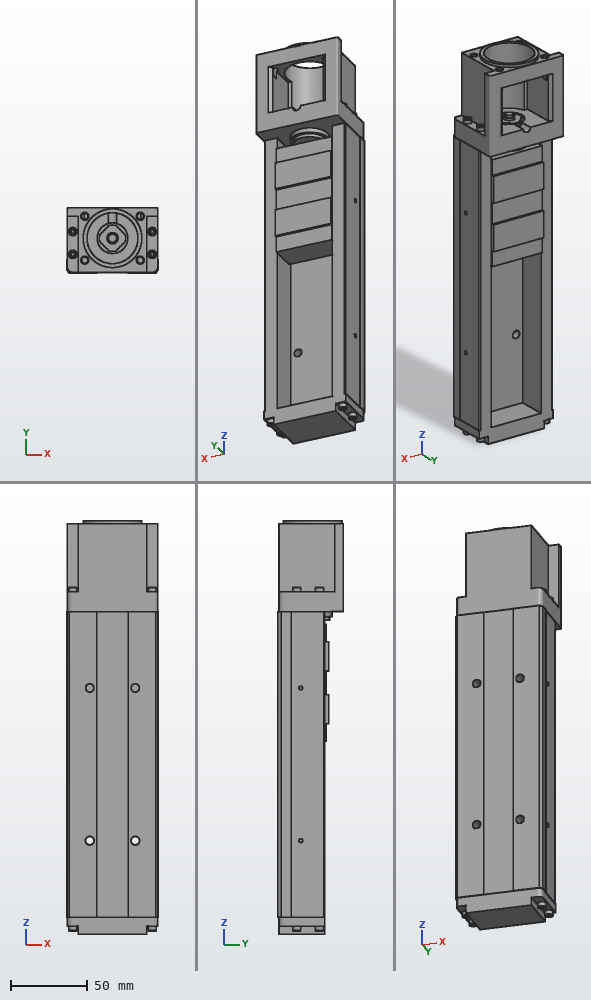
import cadquery as cq


total_length = 271.0
foot_height = 11.5
foot_step = 5.5
rail_length = 200.0
lip_height = 2.0
housing_bottom = foot_height + rail_length
housing_top = total_length - lip_height
shoulder = 224.5

width = 60.0
half_width = width / 2
depth = 43.0
floor_setback = 0.8
axis_y = 23.0

rail_height = 31.0
rail_floor = 9.8
channel_width = 40.0
edge_chamfer_x = 1.5
edge_chamfer_y = 2.5
side_step_y = 9.0
side_step = 0.5
rim_chamfer = 0.8
relief_width = 20.3
relief_depth = 0.3
hole_pitch = 100.0
mount_diameter = 5.5
mount_spacing = 29.8
side_hole_diameter = 2.47
side_hole_depth = 4.0
side_hole_y = 15.2

side_setback = 0.3
block_half_width = half_width - side_setback
corner_radius = 3.3
back_radius = 1.0
flange_thickness = 5.7
tower_width = 45.0
lip_diameter = 38.5
bore_diameter = 33.3
bore_depth = 12.7
window_width = 36.9
window_reach = 5.5
window_chamfer = 2.2
motor_hole_x = 18.2
motor_hole_y = 14.4
motor_hole_diameter = 4.0
motor_hole_depth = 16.3
motor_hole_chamfer = 0.5

screw_head_diameter = 5.5
screw_head_height = 3.0
foot_screw_head_height = 3.3
screw_head_chamfer = 0.4
socket_diameter = 2.47
socket_depth = 2.0
screw_x = 26.0
screw_ys = (12.5, 27.5)

recess_diameter = 20.0
recess_depth = 1.5
nut_diameter = 17.3
nut_across_flats = 15.0
collar_diameter = 7.3
collar_height = 1.5
shaft_diameter = 5.5
shaft_height = 3.3
trough_diameter = 5.7
trough_start = 10.0
boss_diameter = 25.5
boss_height = 3.3
boss_tip_diameter = 22.0
boss_tip_height = 2.5

slider_length = 76.5
slider_bottom_z = 126.5
slider_underside = 12.5
slider_top = 32.0
pad_top = 33.5
pad_length = 19.2
pad_pitch = 34.7


def box(x0, x1, y0, y1, z0, z1):
    """Box between two opposite corners."""
    return cq.Workplane("XY").box(x1 - x0, y1 - y0, z1 - z0, centered=False).translate((x0, y0, z0))


def rod(diameter, x, y, z, height):
    """Cylinder along +Z that starts at (x, y, z)."""
    return cq.Workplane("XY").circle(diameter / 2).extrude(height).translate((x, y, z))


def make_rail():
    """U-shaped rail with relieved floor, stepped sides and cross holes."""
    outer = half_width - side_step
    inner = channel_width / 2
    right_half = [
        (half_width - edge_chamfer_x, 0),
        (half_width, edge_chamfer_y),
        (half_width, side_step_y),
        (outer, side_step_y),
        (outer, rail_height - rim_chamfer),
        (outer - rim_chamfer, rail_height),
        (inner, rail_height),
        (inner, rail_floor),
    ]
    left_half = [(-x, y) for x, y in reversed(right_half)]
    rail = cq.Workplane("XY").polyline(right_half + left_half).close().extrude(rail_length)
    rail = rail.translate((0, 0, foot_height))
    rail = rail.cut(
        box(-relief_width / 2, relief_width / 2, 0, relief_depth, foot_height, housing_bottom)
    )

    middle_z = foot_height + rail_length / 2
    for z in (middle_z - hole_pitch / 2, middle_z + hole_pitch / 2):
        for side in (-1, 1):
            mount_start = cq.Vector(side * mount_spacing / 2, 0, z)
            mount = cq.Solid.makeCylinder(mount_diameter / 2, rail_floor, mount_start, cq.Vector(0, 1, 0))
            side_start = cq.Vector(side * half_width, side_hole_y, z)
            side_hole = cq.Solid.makeCylinder(
                side_hole_diameter / 2, side_hole_depth, side_start, cq.Vector(-side, 0, 0)
            )
            rail = rail.cut(cq.Workplane(mount)).cut(cq.Workplane(side_hole))
    return rail


def make_foot():
    """End block with rounded floor corners and a notch under each side."""
    foot = box(-block_half_width, block_half_width, floor_setback, rail_height, 0, foot_height)
    foot = foot.edges("|Z and <Y").fillet(corner_radius)
    notch = box(tower_width / 2, block_half_width, 0, rail_height, 0, foot_step)
    return foot.cut(notch).cut(notch.mirror("YZ"))


def make_housing_block():
    """Motor tower on a full-width base, with a full-width flange along the back."""
    block = box(-block_half_width, block_half_width, floor_setback, depth, housing_bottom, housing_top)
    block = block.edges("|Z and <Y").fillet(corner_radius)
    block = block.edges("|Z and >Y").fillet(back_radius)
    notch = box(tower_width / 2, block_half_width, 0, depth - flange_thickness, shoulder, housing_top)
    return block.cut(notch).cut(notch.mirror("YZ"))


def motor_hole(x, y):
    """Blind motor screw hole with a chamfered mouth."""
    hole = rod(motor_hole_diameter, x, y, housing_top - motor_hole_depth, motor_hole_depth)
    return hole.union(
        cq.Workplane("XY")
        .circle(motor_hole_diameter / 2 + motor_hole_chamfer)
        .extrude(-motor_hole_chamfer, taper=45)
        .translate((x, y, housing_top))
    )


def make_housing():
    """Motor housing with pilot lip, bore, coupling window and bearing details."""
    housing = make_housing_block()
    housing = housing.union(rod(lip_diameter, 0, axis_y, housing_top, lip_height))

    housing = housing.cut(rod(bore_diameter, 0, axis_y, shoulder, total_length - shoulder))
    window_top = total_length - bore_depth
    side = window_width / 2
    window_half = [
        (side, axis_y - window_reach),
        (side, depth - window_chamfer),
        (side + window_chamfer, depth),
    ]
    window_outline = window_half + [(-x, y) for x, y in reversed(window_half)]
    window = cq.Workplane("XY").polyline(window_outline).close().extrude(window_top - shoulder)
    housing = housing.cut(window.translate((0, 0, shoulder)))
    for x in (-motor_hole_x, motor_hole_x):
        for y in (axis_y - motor_hole_y, axis_y + motor_hole_y):
            housing = housing.cut(motor_hole(x, y))

    trough = cq.Solid.makeCylinder(
        trough_diameter / 2,
        depth - axis_y - trough_start,
        cq.Vector(0, axis_y + trough_start, shoulder),
        cq.Vector(0, 1, 0),
    )
    housing = housing.cut(cq.Workplane(trough))

    recess_floor = shoulder - recess_depth
    housing = housing.cut(rod(recess_diameter, 0, axis_y, recess_floor, recess_depth))
    flats = (
        cq.Workplane("XY")
        .rect(nut_across_flats, nut_across_flats)
        .extrude(recess_depth)
        .rotate((0, 0, 0), (0, 0, 1), 45)
        .translate((0, axis_y, recess_floor))
    )
    nut = rod(nut_diameter, 0, axis_y, recess_floor, recess_depth).intersect(flats)
    collar = rod(collar_diameter, 0, axis_y, shoulder, collar_height)
    shaft = rod(shaft_diameter, 0, axis_y, shoulder, shaft_height)
    housing = housing.union(nut).union(collar).union(shaft)

    boss = rod(boss_diameter, 0, axis_y, housing_bottom - boss_height, boss_height)
    tip_bottom = housing_bottom - boss_height - boss_tip_height
    tip = rod(boss_tip_diameter, 0, axis_y, tip_bottom, boss_tip_height)
    return housing.union(boss).union(tip)


def screw_head(height):
    """Socket screw head standing on the XY plane."""
    head = rod(screw_head_diameter, 0, 0, 0, height).faces(">Z").edges().chamfer(screw_head_chamfer)
    return head.cut(rod(socket_diameter, 0, 0, height - socket_depth, socket_depth))


def make_actuator():
    """Rail, foot, housing and screw heads as one solid."""
    actuator = make_rail().union(make_foot()).union(make_housing())
    top_head = screw_head(screw_head_height)
    foot_head = screw_head(foot_screw_head_height).mirror("XY")
    for x in (-screw_x, screw_x):
        for y in screw_ys:
            actuator = actuator.union(top_head.translate((x, y, shoulder)))
            actuator = actuator.union(foot_head.translate((x, y, foot_step)))
    return actuator


def make_slider():
    """Slider between the channel walls, with two raised mounting pads."""
    half = channel_width / 2
    slider_top_z = slider_bottom_z + slider_length
    slider = box(-half, half, slider_underside, slider_top, slider_bottom_z, slider_top_z)
    middle_z = slider_bottom_z + slider_length / 2
    for pad_z in (middle_z - pad_pitch / 2, middle_z + pad_pitch / 2):
        pad = box(-half, half, slider_top, pad_top, pad_z - pad_length / 2, pad_z + pad_length / 2)
        slider = slider.union(pad)
    return slider


actuator = make_actuator()
slider = make_slider()

result = cq.Compound.makeCompound([actuator.val(), slider.val()])